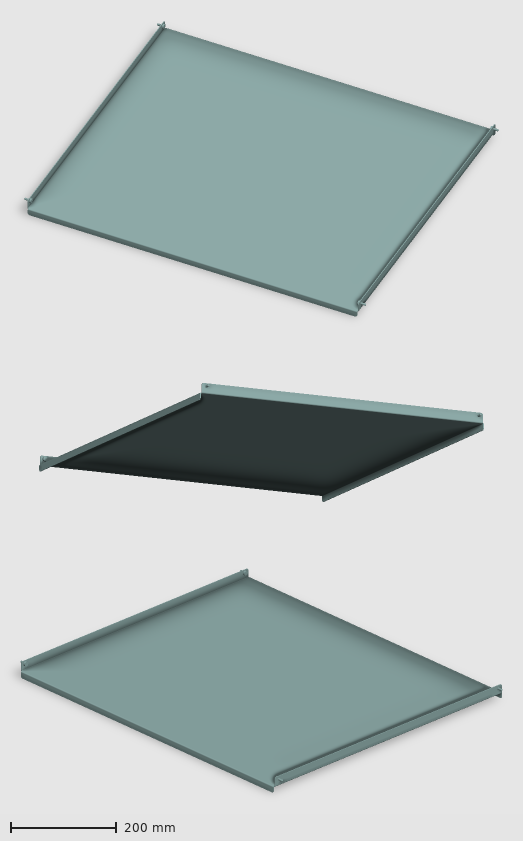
import cadquery as cq

overall_length = 719.0
tray_width = 598.0
overall_height = 32.0
sheet = 1.5
bend_inner = 1.0
pin_reach = 11.0
side_flange_height = 20.0
side_flange_gap = 3.0
side_corner = 3.0
end_flange_gap = 2.0
end_corner = 3.0
pin_end_inset = 12.0
pin_top_inset = 6.5
shank_diameter = 4.0
head_diameter = 9.0
head_thickness = 3.5
tip_chamfer = 1.1

tray_length = overall_length - 2 * pin_reach
bend_outer = bend_inner + sheet
half_length = tray_length / 2
half_width = tray_width / 2
end_flange_bottom = side_flange_height - overall_height
pin_height = side_flange_height - pin_top_inset
pin_y = half_width - pin_end_inset
inner_face_x = half_length - sheet
floor_half_length = half_length - bend_outer
floor_half_width = half_width - bend_outer


def bent_flange(plane, floor_edge, outer_face, near_z, far_z, direction, length):
    """Quarter bend and straight leg at one floor edge, extruded both ways from the plane.

    near_z is the floor face on the inside of the bend, far_z the tip of the leg and
    direction is 1 for a flange that rises and -1 for one that hangs down.
    """
    diagonal = 0.5 ** 0.5
    bend_z = near_z + direction * bend_inner
    inner_face = outer_face - sheet
    profile = (
        cq.Workplane(plane)
        .moveTo(floor_edge, near_z - direction * sheet)
        .threePointArc(
            (floor_edge + bend_outer * diagonal, bend_z - direction * bend_outer * diagonal),
            (outer_face, bend_z),
        )
        .lineTo(outer_face, far_z)
        .lineTo(inner_face, far_z)
        .lineTo(inner_face, bend_z)
        .threePointArc(
            (floor_edge + bend_inner * diagonal, bend_z - direction * bend_inner * diagonal),
            (floor_edge, near_z),
        )
        .close()
    )
    return profile.extrude(length / 2, both=True)


def make_tray():
    side_length = tray_width - 2 * side_flange_gap
    end_length = tray_length - 2 * end_flange_gap
    floor_x = 2 * floor_half_length
    floor_y = 2 * floor_half_width
    tray = cq.Workplane("XY").box(floor_x, floor_y, sheet, centered=(True, True, False))

    side_flange = bent_flange(
        "XZ", floor_half_length, half_length, sheet, side_flange_height, 1, side_length
    )
    side_flange = side_flange.edges("|X and >Z").chamfer(side_corner)
    end_flange = bent_flange(
        "YZ", floor_half_width, half_width, 0, end_flange_bottom, -1, end_length
    )
    end_flange = end_flange.edges("|Y and <Z").chamfer(end_corner)

    for flange, mirror_plane in ((side_flange, "YZ"), (end_flange, "XZ")):
        tray = tray.union(flange).union(flange.mirror(mirror_plane))

    pin_holes = (
        cq.Workplane("YZ")
        .pushPoints([(-pin_y, pin_height), (pin_y, pin_height)])
        .circle(shank_diameter / 2)
        .extrude(overall_length / 2, both=True)
    )
    return tray.cut(pin_holes)


def make_pin(side, y):
    """Headed pin through a side flange; side is 1 for +X and -1 for -X."""
    pin = (
        cq.Workplane("YZ", origin=(inner_face_x - head_thickness, y, pin_height))
        .circle(head_diameter / 2)
        .extrude(head_thickness)
        .faces(">X")
        .workplane()
        .circle(shank_diameter / 2)
        .extrude(sheet + pin_reach)
        .faces(">X")
        .chamfer(tip_chamfer)
    )
    return pin if side > 0 else pin.mirror("YZ")


tray = make_tray()
pins = [make_pin(side, y).val() for side in (-1, 1) for y in (-pin_y, pin_y)]
result = cq.Compound.makeCompound([tray.val(), *pins])